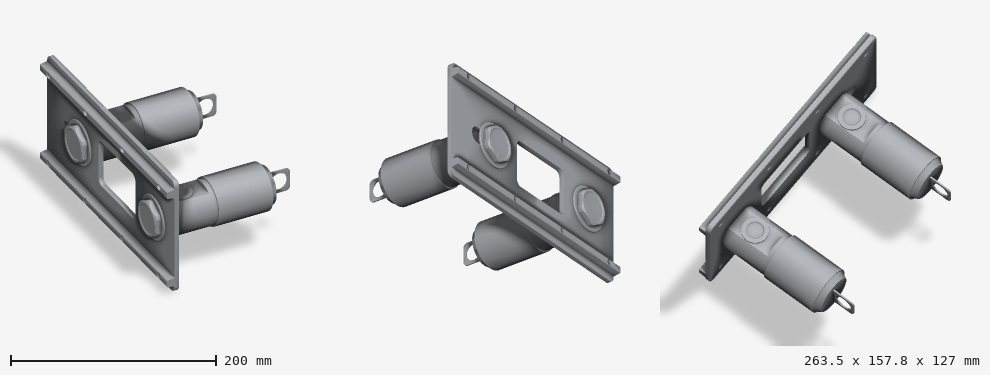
import cadquery as cq

PLATE_LENGTH = 263.5
PLATE_HEIGHT = 127.0
PLATE_THICKNESS = 5.5
PLATE_CORNER_RADIUS = 6.3
PLATE_BACK_CHAMFER = 0.8

RAIL_OFFSET = 50.9
RAIL_HEIGHT = 8.2
RAIL_BASE_WIDTH = 9.8
RAIL_TIP_WIDTH = 7.0
RAIL_TIP_CHAMFER = 0.5
RAIL_HOLE_DIAMETER = 6.9
RAIL_HOLE_PITCH = 76.2
RAIL_HOLE_COUNT = 4

WINDOW_CENTER_X = 12.6
WINDOW_LENGTH = 76.2
WINDOW_HEIGHT = 50.9
WINDOW_CORNER_RADIUS = 6.3

CONNECTOR_SPACING = 152.3
LEFT_CONNECTOR_X = WINDOW_CENTER_X - CONNECTOR_SPACING / 2
RIGHT_CONNECTOR_X = WINDOW_CENTER_X + CONNECTOR_SPACING / 2

BOLT_HOLE_DIAMETER = 17.5
SLOT_TRAVEL = 26.0

BARREL_RADIUS = 23.7
BARREL_LENGTH = 119.0
BARREL_END_RADIUS = 20.0
BARREL_TAPER_LENGTH = 6.5
FLAT_HEIGHT = 19.2
FLAT_LENGTH = 47.7

SLEEVE_RADIUS = 25.3
SLEEVE_START = 53.0
SLEEVE_END = BARREL_LENGTH - BARREL_TAPER_LENGTH

BOSS_DIAMETER = 27.1
BOSS_THICKNESS = 1.8
BOSS_CENTER_Y = 22.1
RECESS_DIAMETER = 15.8
RECESS_DEPTH = 1.0
RECESS_RIM_DIAMETER = 18.5

TAB_WIDTH = 25.3
TAB_THICKNESS = 1.5
TAB_END = 144.1
TAB_CORNER_RADIUS = 4.7
TAB_HOLE_DIAMETER = 19.0

FLANGE_DIAMETER = 47.7
FLANGE_THICKNESS = 1.8
FLANGE_CHAMFER = 0.5
HEX_ACROSS_FLATS = 36.0
HEX_CORNER_DIAMETER = 39.5
BOLT_HEAD_HEIGHT = RAIL_HEIGHT
HEAD_CHAMFER_RADIAL = 2.0
HEAD_CHAMFER_AXIAL = 1.5
FACE_RECESS_DIAMETER = 29.0
FACE_RECESS_RIM_DIAMETER = 31.5
FACE_RECESS_DEPTH = 0.8


def facing_front(y):
    """Workplane at the given Y, with X to the right, Z up and extrusion toward -Y."""
    return cq.Workplane("XZ", origin=(0, y, 0))


def make_rail(z):
    front = -PLATE_THICKNESS
    tip = front - RAIL_HEIGHT
    return (
        cq.Workplane("YZ")
        .polyline(
            [
                (front, z - RAIL_BASE_WIDTH / 2),
                (tip, z - RAIL_TIP_WIDTH / 2),
                (tip, z + RAIL_TIP_WIDTH / 2),
                (front, z + RAIL_BASE_WIDTH / 2),
            ]
        )
        .close()
        .extrude(PLATE_LENGTH / 2, both=True)
        .faces("<Y")
        .edges("|X")
        .chamfer(RAIL_TIP_CHAMFER)
    )


def make_plate():
    plate = (
        facing_front(0)
        .rect(PLATE_LENGTH, PLATE_HEIGHT)
        .extrude(PLATE_THICKNESS)
        .edges("|Y")
        .fillet(PLATE_CORNER_RADIUS)
        .faces(">Y")
        .chamfer(PLATE_BACK_CHAMFER)
    )
    for z in (-RAIL_OFFSET, RAIL_OFFSET):
        plate = plate.union(make_rail(z))

    rail_holes = (
        facing_front(0)
        .rarray(RAIL_HOLE_PITCH, 2 * RAIL_OFFSET, RAIL_HOLE_COUNT, 2)
        .circle(RAIL_HOLE_DIAMETER / 2)
        .extrude(PLATE_THICKNESS + RAIL_HEIGHT)
    )
    window = (
        facing_front(0)
        .center(WINDOW_CENTER_X, 0)
        .rect(WINDOW_LENGTH, WINDOW_HEIGHT)
        .extrude(PLATE_THICKNESS)
        .edges("|Y")
        .fillet(WINDOW_CORNER_RADIUS)
    )
    slot = (
        facing_front(0)
        .center(LEFT_CONNECTOR_X - SLOT_TRAVEL / 2, 0)
        .slot2D(SLOT_TRAVEL + BOLT_HOLE_DIAMETER, BOLT_HOLE_DIAMETER)
        .extrude(PLATE_THICKNESS)
    )
    bolt_hole = (
        facing_front(0)
        .center(RIGHT_CONNECTOR_X, 0)
        .circle(BOLT_HOLE_DIAMETER / 2)
        .extrude(PLATE_THICKNESS)
    )
    return plate.cut(rail_holes).cut(window).cut(slot).cut(bolt_hole)


def make_boss():
    boss = (
        cq.Workplane("XY", origin=(0, BOSS_CENTER_Y, FLAT_HEIGHT))
        .circle(BOSS_DIAMETER / 2)
        .extrude(BOSS_THICKNESS)
    )
    recess = (
        cq.Workplane("XY", origin=(0, BOSS_CENTER_Y, FLAT_HEIGHT + BOSS_THICKNESS))
        .circle(RECESS_RIM_DIAMETER / 2)
        .workplane(offset=-RECESS_DEPTH)
        .circle(RECESS_DIAMETER / 2)
        .loft()
    )
    return boss.cut(recess)


def make_barrel(x):
    taper_start = BARREL_LENGTH - BARREL_TAPER_LENGTH
    barrel = (
        cq.Workplane("XY")
        .polyline(
            [
                (0, 0),
                (BARREL_RADIUS, 0),
                (BARREL_RADIUS, taper_start),
                (BARREL_END_RADIUS, BARREL_LENGTH),
                (0, BARREL_LENGTH),
            ]
        )
        .close()
        .revolve(360, (0, 0), (0, 1))
    )
    above_flat = cq.Workplane("XY", origin=(0, 0, FLAT_HEIGHT)).box(
        2 * BARREL_RADIUS, FLAT_LENGTH, BARREL_RADIUS, centered=(True, False, False)
    )
    return barrel.cut(above_flat).union(make_boss()).translate((x, 0, 0))


def make_sleeve(x):
    return (
        facing_front(SLEEVE_END)
        .center(x, 0)
        .circle(SLEEVE_RADIUS)
        .circle(BARREL_RADIUS)
        .extrude(SLEEVE_END - SLEEVE_START)
    )


def make_tab(x):
    length = TAB_END - BARREL_LENGTH
    return (
        cq.Workplane("YZ", origin=(x, 0, 0))
        .center(BARREL_LENGTH + length / 2, 0)
        .rect(length, TAB_WIDTH)
        .extrude(TAB_THICKNESS / 2, both=True)
        .edges("|X and >Y")
        .fillet(TAB_CORNER_RADIUS)
        .cut(
            cq.Workplane("YZ", origin=(x, 0, 0))
            .center(TAB_END - TAB_WIDTH / 2, 0)
            .circle(TAB_HOLE_DIAMETER / 2)
            .extrude(TAB_THICKNESS / 2, both=True)
        )
    )


def make_bolt(x):
    front = -PLATE_THICKNESS
    shank = facing_front(0).circle(BOLT_HOLE_DIAMETER / 2).extrude(PLATE_THICKNESS)
    flange = (
        facing_front(front)
        .circle(FLANGE_DIAMETER / 2)
        .extrude(FLANGE_THICKNESS)
        .faces("<Y")
        .chamfer(FLANGE_CHAMFER)
    )
    hexagon = (
        facing_front(front)
        .polygon(6, HEX_ACROSS_FLATS, circumscribed=True)
        .extrude(BOLT_HEAD_HEIGHT)
    )
    envelope = (
        facing_front(front)
        .circle(HEX_CORNER_DIAMETER / 2)
        .extrude(BOLT_HEAD_HEIGHT)
        .faces("<Y")
        .chamfer(HEAD_CHAMFER_AXIAL, HEAD_CHAMFER_RADIAL)
    )
    head = hexagon.intersect(envelope)
    recess = (
        facing_front(front - BOLT_HEAD_HEIGHT)
        .circle(FACE_RECESS_RIM_DIAMETER / 2)
        .workplane(offset=-FACE_RECESS_DEPTH)
        .circle(FACE_RECESS_DIAMETER / 2)
        .loft()
    )
    return shank.union(flange).union(head).cut(recess).translate((x, 0, 0))


bodies = [make_plate().val()]
for connector_x in (LEFT_CONNECTOR_X, RIGHT_CONNECTOR_X):
    bodies.append(make_bolt(connector_x).val())
    bodies.append(make_barrel(connector_x).val())
    bodies.append(make_sleeve(connector_x).val())
    bodies.append(make_tab(connector_x).val())

result = cq.Compound.makeCompound(bodies)